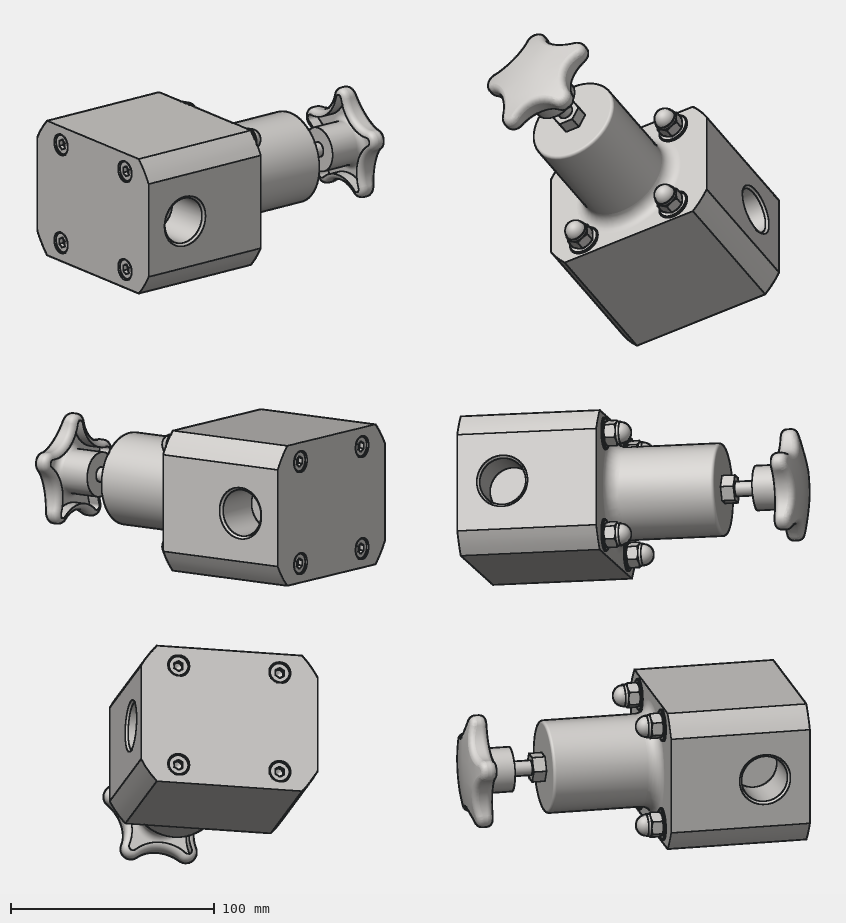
import cadquery as cq
import math


body_width = 88.8
body_height = 69.9
body_length = 69.9
corner_radius = 50.5
overlap = 0.8

port_diameter = 23.1
port_mouth_diameter = 25.6
port_depth = 24.8
port_y = 22.6

screw_offset = 25.5
head_diameter = 10.7
head_chamfer = 0.58
head_sink = 0.7
socket_flats = 4.5
socket_depth = 2.5
socket_cone_depth = 1.3
washer_diameter = 15.9
washer_thickness = 0.8
nut_flats = 11.0
nut_height = 5.8
nut_corner_chamfer_angle = 30
collar_height = 1.5
dome_radius = 5.3

bonnet_diameter = 45.7
bonnet_end_y = 124.0
bonnet_edge_radius = 1.5
bonnet_root_radius = 6.6
lock_nut_flats = 12.5
lock_nut_end_y = 130.5
stem_diameter = 7.5

wheel_end_y = 165.1
wheel_back_y = 153.1
hub_diameter = 22.1
hub_start_y = 140.7
arm_count = 5
arm_tip_radius = 5.1
arm_tip_offset = 23.6
waist_radius = 19.2
wheel_edge_radius = 3.1
wheel_crown_radius = 90.8
recess_depth = 6.1
hub_root_radius = 3.3


def cross_plane(y):
    """Plane across the main axis at y; sketch X is +X, sketch Y is +Z, normal is -Y."""
    return cq.Workplane("XZ", origin=(0, y, 0))


def rod(diameter, start_y, end_y):
    return cross_plane(start_y).circle(diameter / 2).extrude(start_y - end_y)


def hexagon(flats, start_y, end_y, turn):
    """Hexagonal prism; turn 0 points two corners along X, turn 90 along Z."""
    corner_diameter = flats / math.cos(math.radians(30))
    prism = cross_plane(start_y).polygon(6, corner_diameter).extrude(start_y - end_y)
    return prism.rotate((0, 0, 0), (0, 1, 0), turn)


def turned(profile):
    """Revolve an outline of (radius, y) points about the Y axis."""
    return cq.Workplane("XY").polyline(profile).close().revolve(360, (0, 0, 0), (0, 1, 0))


def at_screws(shape):
    """Copies of a shape on the main axis, moved to the four screws."""
    copies = cq.Workplane("XY")
    for x in (-screw_offset, screw_offset):
        for z in (-screw_offset, screw_offset):
            copies = copies.add(shape.translate((x, 0, z)).vals())
    return copies.combine()


def make_body():
    block = cq.Workplane("XY").box(body_width, body_length, body_height)
    block = block.translate((0, body_length / 2, 0))
    return block.intersect(rod(2 * corner_radius, 0, body_length))


def make_port():
    """Blind bore with a 45 degree mouth in the -X face."""
    radius = port_diameter / 2
    mouth_radius = port_mouth_diameter / 2
    face_x = -body_width / 2
    profile = [
        (face_x, 0),
        (face_x, mouth_radius),
        (face_x + mouth_radius - radius, radius),
        (face_x + port_depth, radius),
        (face_x + port_depth, 0),
    ]
    port = cq.Workplane("XY").polyline(profile).close().revolve(360, (0, 0, 0), (1, 0, 0))
    return port.translate((0, port_y, 0))


def make_head_recess():
    """Counterbore above the chamfered screw head, and its hexagonal socket with a conical floor."""
    radius = head_diameter / 2
    socket_floor_y = head_sink + socket_depth
    counterbore = turned([
        (0, 0),
        (radius, 0),
        (radius, head_sink + head_chamfer),
        (radius - head_chamfer, head_sink),
        (0, head_sink),
    ])
    socket = hexagon(socket_flats, 0, socket_floor_y, 90)
    cone = turned([
        (0, socket_floor_y),
        (socket_flats / 2, socket_floor_y),
        (0, socket_floor_y + socket_cone_depth),
    ])
    return counterbore.union(socket).union(cone)


def make_dome_nut():
    """Washer, corner-chamfered hexagon, short collar and dome on the rear face."""
    nut_y = body_length + washer_thickness
    collar_y = nut_y + nut_height
    dome_y = collar_y + collar_height
    washer = rod(washer_diameter, body_length - overlap, nut_y)
    washer = washer.faces(">Y").chamfer(washer_thickness / 2)

    flat_radius = nut_flats / 2
    nut_corner_radius = flat_radius / math.cos(math.radians(30))
    bevel = (nut_corner_radius - flat_radius) * math.tan(math.radians(nut_corner_chamfer_angle))
    envelope = turned([
        (0, nut_y),
        (flat_radius, nut_y),
        (nut_corner_radius, nut_y + bevel),
        (nut_corner_radius, collar_y - bevel),
        (flat_radius, collar_y),
        (0, collar_y),
    ])
    nut = hexagon(nut_flats, nut_y, collar_y, 90).intersect(envelope)
    collar = rod(nut_flats, collar_y - overlap, dome_y)
    dome = cq.Workplane("XY").sphere(dome_radius).translate((0, dome_y, 0))
    return washer.union(nut).union(collar).union(dome)


def flared_post(diameter, root_radius, base_y, direction, end_y):
    """Round post from base_y to end_y, swept out onto its base; direction is the sign of its Y run."""
    radius = diameter / 2
    sunk_y = base_y - direction * overlap
    sweep_middle = root_radius * (1 - math.sqrt(0.5))
    profile = (
        cq.Workplane("XY")
        .moveTo(0, sunk_y)
        .lineTo(radius + root_radius, sunk_y)
        .lineTo(radius + root_radius, base_y)
        .threePointArc(
            (radius + sweep_middle, base_y + direction * sweep_middle),
            (radius, base_y + direction * root_radius),
        )
        .lineTo(radius, end_y)
        .lineTo(0, end_y)
        .close()
    )
    return profile.revolve(360, (0, 0, 0), (0, 1, 0))


def make_bonnet():
    bonnet = flared_post(bonnet_diameter, bonnet_root_radius, body_length, 1, bonnet_end_y)
    return bonnet.faces(">Y").edges().fillet(bonnet_edge_radius)


def polar(radius, angle):
    return (radius * math.cos(angle), radius * math.sin(angle))


def star(inset, start_y, end_y):
    """Five-armed prism: round tips joined by tangent hollow arcs, moved inward by inset."""
    half_step = math.pi / arm_count
    reach = arm_tip_offset * math.cos(half_step)
    hollow_radius = (
        (arm_tip_offset**2 + waist_radius**2 - 2 * waist_radius * reach - arm_tip_radius**2)
        / (2 * (arm_tip_radius - waist_radius + reach))
    )
    hollow_offset = waist_radius + hollow_radius
    touch_angle = math.atan2(
        hollow_offset * math.sin(half_step),
        hollow_offset * math.cos(half_step) - arm_tip_offset,
    )
    tip_radius = arm_tip_radius - inset

    def touch_point(arm_angle, side):
        centre_x, centre_y = polar(arm_tip_offset, arm_angle)
        step_x, step_y = polar(tip_radius, arm_angle + side * touch_angle)
        return (centre_x + step_x, centre_y + step_y)

    first_angle = math.pi / 2
    outline = cross_plane(start_y).moveTo(*touch_point(first_angle, -1))
    for arm in range(arm_count):
        angle = first_angle + 2 * half_step * arm
        tip = polar(arm_tip_offset + tip_radius, angle)
        outline = outline.threePointArc(tip, touch_point(angle, 1))
        waist = polar(waist_radius - inset, angle + half_step)
        outline = outline.threePointArc(waist, touch_point(angle + 2 * half_step, -1))
    return outline.close().extrude(start_y - end_y)


def make_handwheel():
    """Crowned star with rounded edges, hollow behind, on a hub flared onto the hollow's floor."""
    crown = cq.Workplane("XY").sphere(wheel_crown_radius)
    crown = crown.translate((0, wheel_end_y - wheel_crown_radius, 0))
    wheel = star(0, wheel_back_y, wheel_end_y + overlap).intersect(crown)
    wheel = wheel.faces(">Y or <Y").edges().fillet(wheel_edge_radius)

    floor_y = wheel_back_y + recess_depth
    recess = star(wheel_edge_radius, wheel_back_y, floor_y)
    hub = flared_post(hub_diameter, hub_root_radius, floor_y, -1, hub_start_y)
    return wheel.cut(recess).union(hub)


rear_stack = make_bonnet()
rear_stack = rear_stack.union(hexagon(lock_nut_flats, bonnet_end_y - overlap, lock_nut_end_y, 0))
rear_stack = rear_stack.union(rod(stem_diameter, bonnet_end_y, hub_start_y + overlap))
rear_stack = rear_stack.union(make_handwheel())

port = make_port()
result = make_body().union(rear_stack).union(at_screws(make_dome_nut()))
result = result.cut(port).cut(port.mirror("YZ")).cut(at_screws(make_head_recess()))